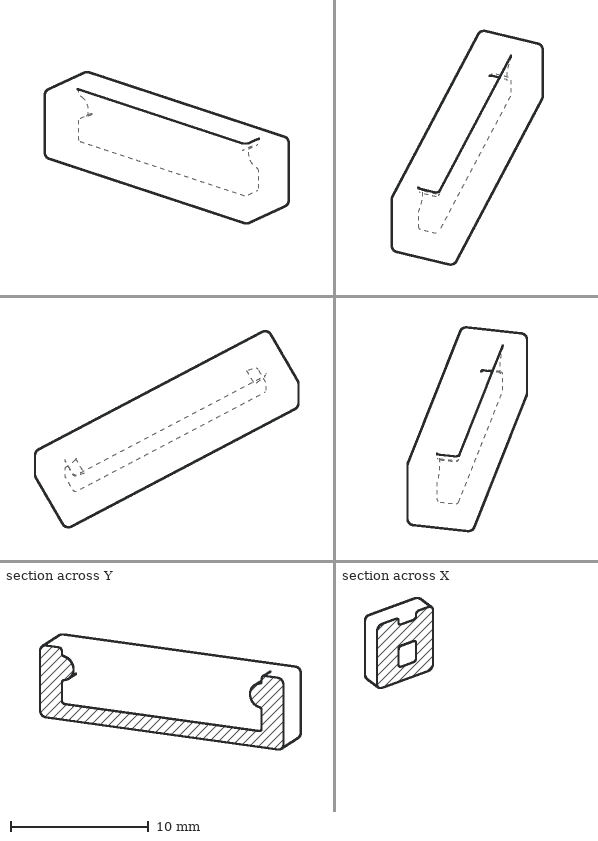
import cadquery as cq

length = 19.5
width = 5.0
height = 5.5
edge_radius = 0.49

slot_length = 16.0
slot_width = 1.6
slot_depth = 4.29
slot_offset = 0.2
slot_radius = 0.25

bar_radius = 0.9
bar_reach = 0.94
bar_top_depth = 0.66

bar_center_x = slot_length / 2 - bar_reach + bar_radius
bar_center_z = height - bar_top_depth - bar_radius

selection_margin = 0.02


def rounded_block():
    block = cq.Workplane("XY").box(length, width, height, centered=(True, True, False))
    return block.edges().fillet(edge_radius)


def end_bar(side):
    """Bar along Y, longer than the slot is wide, at the -X (-1) or +X (+1) end."""
    return (
        cq.Workplane("XZ", origin=(side * bar_center_x, 0, bar_center_z))
        .circle(bar_radius)
        .extrude(slot_width, both=True)
    )


def slot_cavity():
    """Space inside the slot, with all edges below the mouth rounded."""
    cavity = cq.Workplane("XY", origin=(0, slot_offset, height - slot_depth)).box(
        slot_length, slot_width, slot_depth, centered=(True, True, False)
    )
    for side in (-1, 1):
        cavity = cavity.cut(end_bar(side))
    return cavity.edges("not >Z").fillet(slot_radius)


def round_mouth(body):
    """Round the rim where the slot meets the top face."""
    half_length = slot_length / 2 + selection_margin
    half_width = slot_width / 2 + selection_margin
    mouth = cq.selectors.BoxSelector(
        (-half_length, slot_offset - half_width, height - selection_margin),
        (half_length, slot_offset + half_width, height + selection_margin),
    )
    return body.edges(mouth).fillet(slot_radius)


result = round_mouth(rounded_block().cut(slot_cavity()))